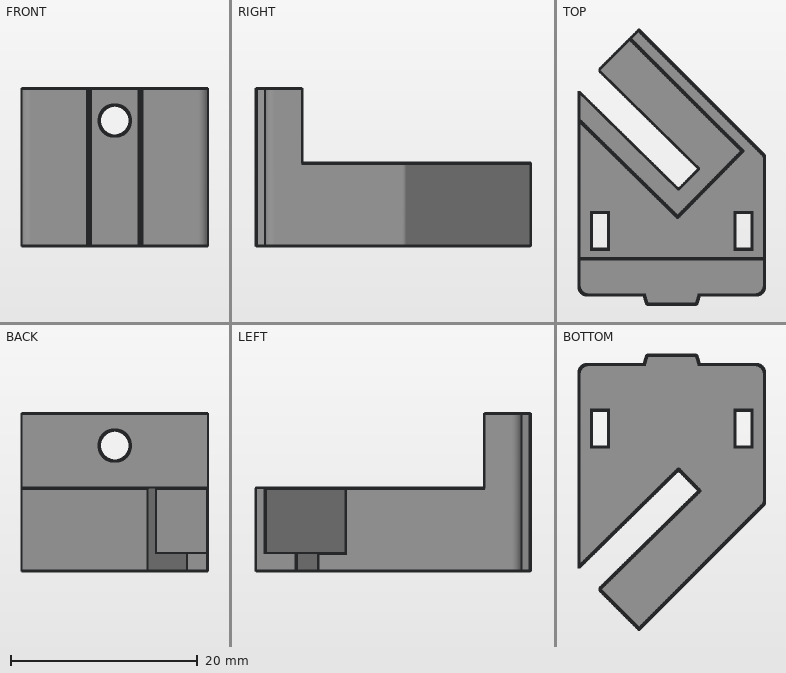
import cadquery as cq
import math

width = 20.0
plate_thickness = 4.0
plate_height = 17.0
corner_radius = 1.0

key_depth = 1.0
key_root_width = 6.0
key_tip_width = 5.4

screw_diameter = 3.2
screw_height = 13.5

base_height = 9.0
shoulder_y = 15.0
shoulder_radius = 0.5
arm_reach = 28.5

pocket_turn = math.radians(45.5)
pocket_corner_x = 0.63
pocket_corner_y = 8.5
pocket_floor = 2.0
pocket_width = 9.8
pocket_bend = 3.2

slot_margin = 2.12
slot_end_margin = 1.95
slot_width = 3.1

window_width = 1.7
window_length = 3.8
window_spacing = 15.4
window_center_y = 6.92

edge_break = 0.13

half_width = width / 2
arm_tip_x = half_width + shoulder_y - arm_reach
arm_end_offset = arm_reach - arm_tip_x

cutter_length = 2 * arm_reach
tolerance = 0.01


def pocket_point(across, along):
    """Turn pocket coordinates (across, along) into part X, Y."""
    x = pocket_corner_x + across * math.cos(pocket_turn) - along * math.sin(pocket_turn)
    y = pocket_corner_y + across * math.sin(pocket_turn) + along * math.cos(pocket_turn)
    return x, y


def prism(outline, bottom, height):
    """Extrude a closed outline of X, Y points upward from the given bottom."""
    return cq.Workplane("XY", origin=(0, 0, bottom)).polyline(outline).close().extrude(height)


def make_base():
    outline = [
        (-half_width, 0),
        (half_width, 0),
        (half_width, shoulder_y),
        (arm_tip_x, arm_reach),
        (-half_width, arm_end_offset - half_width),
    ]
    shoulder = cq.selectors.NearestToPointSelector((half_width, shoulder_y, base_height / 2))
    return prism(outline, 0, base_height).edges(shoulder).fillet(shoulder_radius)


def make_plate():
    return cq.Workplane("XY").box(width, plate_thickness, plate_height, centered=(True, False, False))


def make_key():
    outline = [
        (-key_root_width / 2, 0),
        (-key_tip_width / 2, -key_depth),
        (key_tip_width / 2, -key_depth),
        (key_root_width / 2, 0),
    ]
    return prism(outline, 0, plate_height)


def make_pocket():
    """Return the pocket cutter: past the bend, its outer side runs parallel to the arm."""
    bend_x, bend_y = pocket_point(pocket_width, pocket_bend)
    outline = [
        pocket_point(0, 0),
        pocket_point(pocket_width, 0),
        (bend_x, bend_y),
        (bend_x - cutter_length, bend_y + cutter_length),
        pocket_point(0, cutter_length),
    ]
    return prism(outline, pocket_floor, base_height)


def make_slot():
    far_side = slot_margin + slot_width
    outline = [
        pocket_point(slot_margin, slot_end_margin),
        pocket_point(far_side, slot_end_margin),
        pocket_point(far_side, cutter_length),
        pocket_point(slot_margin, cutter_length),
    ]
    return prism(outline, 0, base_height)


def make_windows():
    centers = [(side * window_spacing / 2, window_center_y) for side in (-1, 1)]
    return cq.Workplane("XY").pushPoints(centers).rect(window_width, window_length).extrude(base_height)


def make_screw_hole():
    plane = cq.Workplane("XZ", origin=(0, plate_thickness, screw_height))
    return plane.circle(screw_diameter / 2).extrude(plate_thickness + key_depth)


def near(value, target):
    return abs(value - target) < tolerance


def stays_sharp(edge):
    """Tell whether an outer edge is left without a chamfer."""
    center = edge.Center()
    on_left_side = near(center.x, -half_width)
    on_arm_end = near(center.y - center.x, arm_end_offset)
    floor_edge = near(center.z, pocket_floor) and not on_left_side
    arm_end_top = on_arm_end and near(center.z, base_height)
    arm_tip = on_arm_end and near(center.x, arm_tip_x) and center.z > tolerance
    plate_back_side = near(center.y, plate_thickness) and near(abs(center.x), half_width)
    return floor_edge or arm_end_top or arm_tip or plate_back_side


def stands_out(edge, solid):
    """Tell whether the two faces at an edge meet in a sharp outward corner."""
    smooth_limit = 0.1
    middle = edge.positionAt(0.5)
    faces = edge.ancestors(solid, "Face").Faces()
    step = faces[0].normalAt(middle) - faces[-1].normalAt(middle)
    return step.Length > smooth_limit and not solid.isInside(middle + step * tolerance)


def break_edges(body):
    """Chamfer the outer edges of the body, apart from those that stay sharp."""
    solid = body.solids().val()
    edges = [edge for edge in solid.Edges() if stands_out(edge, solid) and not stays_sharp(edge)]
    return cq.Workplane(solid.chamfer(edge_break, None, edges))


body = make_base().union(make_plate())
body = body.edges("|Z").edges("<Y").fillet(corner_radius)
body = body.union(make_key())
for cutter in (make_pocket(), make_slot(), make_windows(), make_screw_hole()):
    body = body.cut(cutter)
result = break_edges(body)